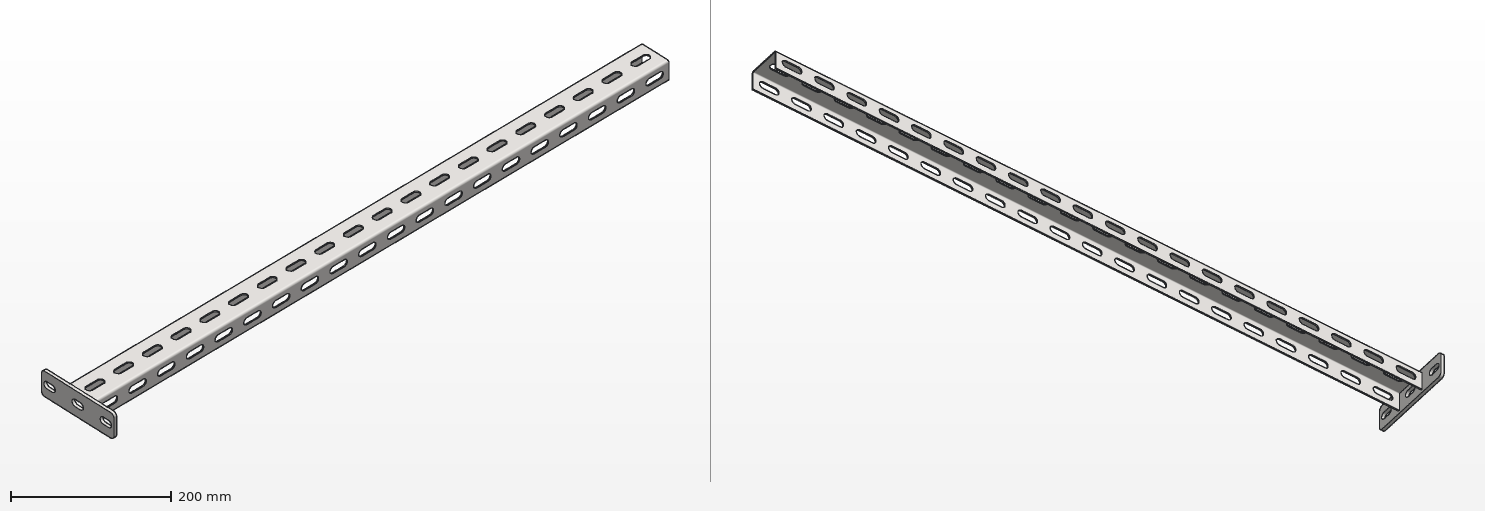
import cadquery as cq

PLATE_WIDTH = 130.0
PLATE_HEIGHT = 40.0
PLATE_THICKNESS = 5.0
PLATE_CORNER_RADIUS = 6.0
PLATE_SLOT_COUNT = 3
PLATE_SLOT_PITCH = 50.0
PLATE_SLOT_LENGTH = 20.0
PLATE_SLOT_WIDTH = 11.0

TOTAL_LENGTH = 1005.0
RAIL_LENGTH = TOTAL_LENGTH - PLATE_THICKNESS
RAIL_WIDTH = 50.0
RAIL_HEIGHT = 30.0
SHEET_THICKNESS = 2.0
BEND_OUTER_RADIUS = 3.5
BEND_INNER_RADIUS = BEND_OUTER_RADIUS - SHEET_THICKNESS

RAIL_SLOT_COUNT = 20
RAIL_SLOT_PITCH = RAIL_LENGTH / RAIL_SLOT_COUNT
RAIL_SLOT_LENGTH = 30.0
RAIL_SLOT_WIDTH = 11.0


def make_plate():
    """Flat plate with rounded corners and a row of horizontal slots."""
    plate = (
        cq.Workplane("XZ")
        .rect(PLATE_WIDTH, PLATE_HEIGHT)
        .extrude(PLATE_THICKNESS)
        .edges("|Y")
        .fillet(PLATE_CORNER_RADIUS)
    )
    slots = (
        cq.Workplane("XZ")
        .rarray(PLATE_SLOT_PITCH, 10, PLATE_SLOT_COUNT, 1)
        .slot2D(PLATE_SLOT_LENGTH, PLATE_SLOT_WIDTH)
        .extrude(PLATE_THICKNESS)
    )
    return plate.cut(slots)


def channel_block(width, top, bend_radius):
    """Solid bar along the rail, from its open underside to `top`, with both upper edges rounded."""
    bottom = -RAIL_HEIGHT / 2
    return (
        cq.Workplane("XY")
        .box(width, RAIL_LENGTH, top - bottom, centered=(True, False, False))
        .translate((0, 0, bottom))
        .edges("|Y and >Z")
        .fillet(bend_radius)
    )


def slot_row(plane_name, turn, depth):
    """Row of slots along the rail, cutting `depth` to each side of the named plane through its axis."""
    return (
        cq.Workplane(plane_name, origin=(0, RAIL_LENGTH / 2, 0))
        .transformed(rotate=(0, 0, turn))
        .rarray(RAIL_SLOT_PITCH, 10, RAIL_SLOT_COUNT, 1)
        .slot2D(RAIL_SLOT_LENGTH, RAIL_SLOT_WIDTH)
        .extrude(depth, both=True)
    )


def make_rail():
    """Slotted channel: a web on top and two flanges pointing down."""
    web_top = RAIL_HEIGHT / 2
    outside = channel_block(RAIL_WIDTH, web_top, BEND_OUTER_RADIUS)
    inside = channel_block(
        RAIL_WIDTH - 2 * SHEET_THICKNESS,
        web_top - SHEET_THICKNESS,
        BEND_INNER_RADIUS,
    )
    web_slots = slot_row("XY", 90, RAIL_HEIGHT)
    flange_slots = slot_row("YZ", 0, RAIL_WIDTH)
    return outside.cut(inside).cut(web_slots).cut(flange_slots)


plate = make_plate()
rail = make_rail()

result = cq.Compound.makeCompound([plate.val(), rail.val()])